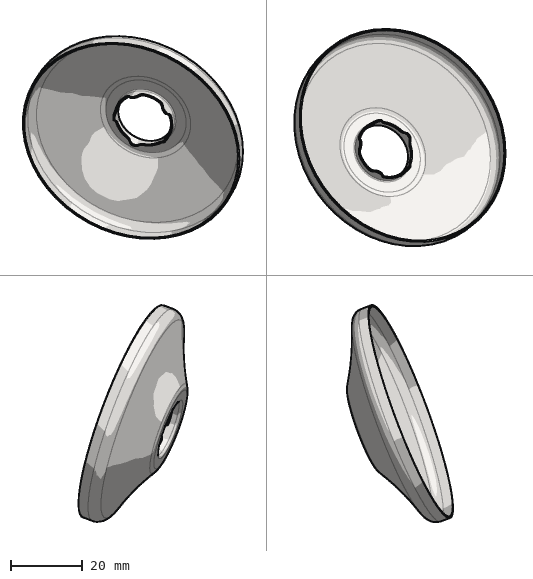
import cadquery as cq
import math

rim_radius = 31.75
height = 14.29
sheet = 0.5

rim_height = 2.87
shoulder_radius = 3.2
flare_radius = 80.0
crown_radius = 3.2
flat_radius = 11.76

bore_radius = 7.94
bend_radius = 0.3
finger_count = 5
valley_depth = 2.0
finger_depth = 3.65
tip_radius = 1.5
root_radius = 1.5

flat_inner_y = height - sheet
collar_radius = bore_radius + sheet
bend_centre = (collar_radius + bend_radius, flat_inner_y - bend_radius)
shoulder_centre = (rim_radius - shoulder_radius, rim_height)
crown_centre = (flat_radius, height - crown_radius)


def polar(centre, radius, angle):
    """Point of a circle at an angle in radians."""
    return (centre[0] + radius * math.cos(angle), centre[1] + radius * math.sin(angle))


def locate_flare():
    """Centre of the flare arc, and the angles at which the shoulder and crown arcs meet it."""
    dx = crown_centre[0] - shoulder_centre[0]
    dy = crown_centre[1] - shoulder_centre[1]
    span = math.hypot(dx, dy)
    from_shoulder = shoulder_radius + flare_radius
    from_crown = crown_radius + flare_radius
    cosine = (span**2 + from_shoulder**2 - from_crown**2) / (2 * span * from_shoulder)
    shoulder_angle = math.atan2(dy, dx) - math.acos(cosine)
    flare_centre = polar(shoulder_centre, from_shoulder, shoulder_angle)
    crown_angle = math.atan2(flare_centre[1] - crown_centre[1], flare_centre[0] - crown_centre[0])
    return flare_centre, shoulder_angle, crown_angle


def shell_points(offset):
    """Points of the shell surface lying a given depth inside the outer one, from rim to flat top."""
    flare_centre, shoulder_angle, crown_angle = locate_flare()
    shoulder = shoulder_radius - offset
    crown = crown_radius - offset
    flare_middle = math.pi + (shoulder_angle + crown_angle) / 2
    return [
        (rim_radius - offset, 0),
        (rim_radius - offset, rim_height),
        polar(shoulder_centre, shoulder, shoulder_angle / 2),
        polar(shoulder_centre, shoulder, shoulder_angle),
        polar(flare_centre, flare_radius + offset, flare_middle),
        polar(crown_centre, crown, crown_angle),
        polar(crown_centre, crown, (crown_angle + math.pi / 2) / 2),
        (flat_radius, height - offset),
    ]


def make_body(collar_depth):
    """Revolved sheet with a plain collar of the given depth."""
    outer = shell_points(0)
    inner = shell_points(sheet)
    collar_end = flat_inner_y - collar_depth
    bend_middle = math.radians(135)
    profile = (
        cq.Workplane("XY")
        .moveTo(*outer[0])
        .lineTo(*outer[1])
        .threePointArc(outer[2], outer[3])
        .threePointArc(outer[4], outer[5])
        .threePointArc(outer[6], outer[7])
        .lineTo(bend_centre[0], height)
        .threePointArc(polar(bend_centre, bend_radius + sheet, bend_middle), (bore_radius, bend_centre[1]))
        .lineTo(bore_radius, collar_end)
        .lineTo(collar_radius, collar_end)
        .lineTo(collar_radius, bend_centre[1])
        .threePointArc(polar(bend_centre, bend_radius, bend_middle), (bend_centre[0], flat_inner_y))
        .lineTo(*inner[7])
        .threePointArc(inner[6], inner[5])
        .threePointArc(inner[4], inner[3])
        .threePointArc(inner[2], inner[1])
        .lineTo(*inner[0])
        .close()
    )
    return profile.revolve(360, (0, 0, 0), (0, 1, 0))


def make_finger_prism():
    """Finger outline, rounded at the tip and flared at the root, extruded along +Z through the collar wall."""
    valley_y = flat_inner_y - valley_depth
    tip_y = flat_inner_y - finger_depth
    base_y = bend_centre[1]
    radius_sum = tip_radius + root_radius
    sweep = math.acos(1 - (finger_depth - valley_depth) / radius_sum)
    half_width = radius_sum * math.sin(sweep)
    tip_centre = (0, tip_y + tip_radius)
    right_root = (half_width, valley_y - root_radius)
    left_root = (-half_width, valley_y - root_radius)
    up = math.pi / 2
    right_join = polar(tip_centre, tip_radius, sweep - up)
    left_join = (-right_join[0], right_join[1])
    outline = (
        cq.Workplane("XY")
        .moveTo(-half_width, base_y)
        .lineTo(-half_width, valley_y)
        .threePointArc(polar(left_root, root_radius, up - sweep / 2), left_join)
        .threePointArc((0, tip_y), right_join)
        .threePointArc(polar(right_root, root_radius, up + sweep / 2), (half_width, valley_y))
        .lineTo(half_width, base_y)
        .close()
    )
    return outline.extrude(collar_radius + bend_radius)


def make_fingers():
    """Spring fingers spaced evenly round the collar, the first one at -X."""
    tube_length = bend_centre[1] - (flat_inner_y - finger_depth)
    tube = (
        cq.Workplane("XZ", origin=(0, bend_centre[1], 0))
        .circle(collar_radius)
        .circle(bore_radius)
        .extrude(tube_length)
    )
    prism = make_finger_prism().rotate((0, 0, 0), (0, 1, 0), -90)
    fingers = cq.Workplane("XY")
    for index in range(finger_count):
        turned = prism.rotate((0, 0, 0), (0, 1, 0), index * 360 / finger_count)
        fingers = fingers.add(tube.intersect(turned))
    return fingers


result = make_body(valley_depth)
for finger in make_fingers().vals():
    result = result.union(cq.Workplane(finger))
result = result.clean()